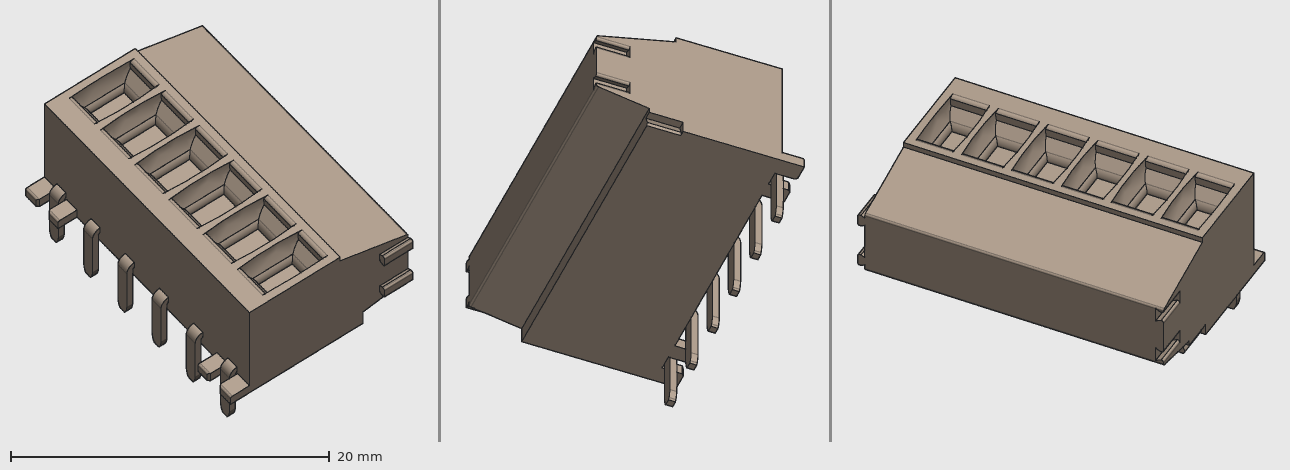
import cadquery as cq
import math


pole_count = 6
pole_pitch = 3.5
body_length = 21.0
body_depth = 12.6
body_height = 8.2
top_depth = 7.2
top_step_height = 0.37
back_top_z = 6.3
back_bottom_z = 1.78
heel_y = 9.03
heel_z = 1.16
back_edge_radius = 0.15

well_front_y = 1.8
well_back_y = 6.35
well_half_width = 1.45
end_well_half_width = 1.15
lip_run = 0.3
lip_height = 0.2
ledge_z = 6.8
side_run = 0.3
side_mid_z = 7.3
side_mid_run = 0.06
slope_run = 0.67
throat_radius = 0.8
floor_z = 6.2
well_bulge = 0.13
end_well_bulge = 0.06
bulge_mid_share = 0.5
ledge_bulge_share = 0.05

pin_width = 0.92
pin_thickness = 0.47
pin_front_y = -0.6
pin_top_z = 1.33
pin_bend_radius = 0.67
pin_root = 0.43
pin_bottom_z = -3.5
pin_taper_z = -2.8
pin_tip_width = 0.47
pin_tip_chamfer_x = 0.09
pin_bow_share = 0.35
pin_tip_chamfer_z = 0.13

foot_reach = 1.5
foot_height = 0.73
foot_outer_end = 3.33
foot_gap = 1.03
foot_chamfer = 0.15
foot_edge_radius = 0.15

rail_heights = (2.5, 5.7)
rail_run = 2.25
rail_reach = 21.5 - body_length
rail_neck = 0.6
rail_width = 0.85
rail_flare_reach = 0.25
rail_corner_radius = 0.13
slot_neck = 0.65
slot_lip_radius = 0.17
slot_depth = 0.55
slot_width = 0.99

notch_height = 0.82
notch_run = 2.3
notch_depth = 0.55
notch_lip_x = 0.3
notch_lip_z = 0.2

first_pole_x = (body_length - (pole_count - 1) * pole_pitch) / 2
pole_positions = [first_pole_x + i * pole_pitch for i in range(pole_count)]


def make_housing():
    housing = (
        cq.Workplane("YZ")
        .moveTo(0, 0)
        .lineTo(heel_y, 0)
        .lineTo(heel_y, heel_z)
        .lineTo(body_depth, back_bottom_z)
        .lineTo(body_depth, back_top_z)
        .lineTo(top_depth, body_height - top_step_height)
        .lineTo(top_depth, body_height)
        .lineTo(0, body_height)
        .close()
        .extrude(body_length)
    )
    return housing.faces(">Y").edges("|X").fillet(back_edge_radius)


def throat_steps():
    """Inward run and drop of the rounded throat at its middle and at its foot."""
    slope_angle = math.radians(45)
    middle_angle = slope_angle / 2
    run = throat_radius * (1 - math.cos(slope_angle))
    drop = throat_radius * math.sin(slope_angle)
    middle_run = throat_radius * (math.cos(middle_angle) - math.cos(slope_angle))
    middle_drop = throat_radius * (math.sin(slope_angle) - math.sin(middle_angle))
    return middle_run, middle_drop, run, drop


def add_throat(outline, low, high):
    """Continue an outline at the low ledge through throat and floor to the high ledge."""
    middle_run, middle_drop, run, drop = throat_steps()
    return (
        outline.threePointArc((low + middle_run, ledge_z - middle_drop), (low + run, ledge_z - drop))
        .lineTo(low + run, floor_z)
        .lineTo(high - run, floor_z)
        .lineTo(high - run, ledge_z - drop)
        .threePointArc((high - middle_run, ledge_z - middle_drop), (high, ledge_z))
    )


def make_well_section():
    """Front-to-back section: rounded lips, short walls, 45 degree slopes, throat and floor."""
    front = well_front_y
    back = well_back_y
    lip_half_angle = math.atan(lip_height / lip_run)
    lip_radius = lip_run / math.sin(2 * lip_half_angle)
    lip_middle_run = lip_run - lip_radius * math.sin(lip_half_angle)
    lip_middle_z = body_height - lip_radius * (1 - math.cos(lip_half_angle))
    outline = (
        cq.Workplane("YZ")
        .moveTo(front - lip_run, body_height)
        .threePointArc((front - lip_middle_run, lip_middle_z), (front, body_height - lip_height))
        .lineTo(front, ledge_z + slope_run)
        .lineTo(front + slope_run, ledge_z)
    )
    return (
        add_throat(outline, front + slope_run, back - slope_run)
        .lineTo(back, ledge_z + slope_run)
        .lineTo(back, body_height - lip_height)
        .threePointArc((back + lip_middle_run, lip_middle_z), (back + lip_run, body_height))
        .close()
        .extrude(body_length)
    )


def bowed_rectangle(left, right, left_bulge, right_bulge):
    front = well_front_y - lip_run
    back = well_back_y + lip_run
    middle_y = (front + back) / 2
    return (
        cq.Workplane("XY")
        .moveTo(left, front)
        .lineTo(right, front)
        .threePointArc((right + right_bulge, middle_y), (right, back))
        .lineTo(left, back)
        .threePointArc((left - left_bulge, middle_y), (left, front))
        .close()
        .wires()
        .val()
    )


def make_well(left, right, left_bulge, right_bulge):
    levels = (
        (ledge_z, side_run, ledge_bulge_share),
        (side_mid_z, side_mid_run, bulge_mid_share),
        (body_height, 0, 1),
    )
    rings = [
        bowed_rectangle(
            left + run, right - run, left_bulge * share, right_bulge * share
        ).translate(cq.Vector(0, 0, z))
        for z, run, share in levels
    ]
    upper = cq.Workplane(cq.Solid.makeLoft(rings))
    ledge_left = left + side_run
    ledge_right = right - side_run
    throat_outline = cq.Workplane("XZ").moveTo(ledge_left, ledge_z)
    throat = add_throat(throat_outline, ledge_left, ledge_right).close().extrude(-body_depth)
    return upper.union(throat).intersect(make_well_section())


def make_pin(x):
    bend_y = pin_front_y + pin_bend_radius
    bend_z = pin_top_z - pin_bend_radius
    inner_radius = pin_bend_radius - pin_thickness
    diagonal = math.sqrt(0.5)
    side = (
        cq.Workplane("YZ", origin=(x - pin_width / 2, 0, 0))
        .moveTo(pin_root, pin_top_z)
        .lineTo(bend_y, pin_top_z)
        .threePointArc(
            (bend_y - pin_bend_radius * diagonal, bend_z + pin_bend_radius * diagonal),
            (pin_front_y, bend_z),
        )
        .lineTo(pin_front_y, pin_bottom_z)
        .lineTo(pin_front_y + pin_thickness, pin_bottom_z)
        .lineTo(pin_front_y + pin_thickness, bend_z)
        .threePointArc(
            (bend_y - inner_radius * diagonal, bend_z + inner_radius * diagonal),
            (bend_y, bend_z + inner_radius),
        )
        .lineTo(pin_root, bend_z + inner_radius)
        .close()
        .extrude(pin_width)
    )
    half = pin_width / 2
    half_tip = pin_tip_width / 2
    shoulder = half_tip + pin_tip_chamfer_x
    shoulder_z = pin_bottom_z + pin_tip_chamfer_z
    bow_x = half - pin_bow_share * (half - shoulder)
    bow_z = (pin_taper_z + shoulder_z) / 2
    front = (
        cq.Workplane("XZ", origin=(x, pin_root, 0))
        .moveTo(-half, pin_top_z)
        .lineTo(half, pin_top_z)
        .lineTo(half, pin_taper_z)
        .threePointArc((bow_x, bow_z), (shoulder, shoulder_z))
        .lineTo(half_tip, pin_bottom_z)
        .lineTo(-half_tip, pin_bottom_z)
        .lineTo(-shoulder, shoulder_z)
        .threePointArc((-bow_x, bow_z), (-half, pin_taper_z))
        .close()
        .extrude(pin_root - pin_front_y)
    )
    return side.intersect(front)


def make_foot(start, end, chamfered_side):
    foot = cq.Workplane("XY").box(end - start, foot_reach, foot_height, centered=False)
    foot = foot.edges("|Z and <Y and " + chamfered_side).chamfer(foot_chamfer)
    foot = foot.faces("<Y").edges(">Z").fillet(foot_edge_radius)
    return foot.translate((start, -foot_reach, 0))


def make_feet():
    gap_start = first_pole_x - foot_gap / 2
    gap_end = first_pole_x + foot_gap / 2
    pair = make_foot(0, gap_start, ">X").union(make_foot(gap_end, foot_outer_end, "<X"))
    return pair.union(pair.mirror("YZ").translate((body_length, 0, 0)))


def make_rail(z):
    return (
        cq.Workplane("XZ", origin=(body_length, body_depth, z))
        .moveTo(0, -rail_neck / 2)
        .lineTo(rail_flare_reach, -rail_width / 2)
        .lineTo(rail_reach, -rail_width / 2)
        .lineTo(rail_reach, rail_width / 2)
        .lineTo(rail_flare_reach, rail_width / 2)
        .lineTo(0, rail_neck / 2)
        .close()
        .extrude(rail_run)
        .faces(">X")
        .edges("|Y")
        .fillet(rail_corner_radius)
    )


def make_slot(z):
    half_neck = slot_neck / 2
    half_mouth = half_neck + slot_lip_radius
    lip_bow = slot_lip_radius * (1 - math.sqrt(0.5))
    return (
        cq.Workplane("XZ", origin=(0, body_depth, z))
        .moveTo(0, -half_mouth)
        .threePointArc((lip_bow, -half_neck - lip_bow), (slot_lip_radius, -half_neck))
        .lineTo(slot_depth, -slot_width / 2)
        .lineTo(slot_depth, slot_width / 2)
        .lineTo(slot_lip_radius, half_neck)
        .threePointArc((lip_bow, half_neck + lip_bow), (0, half_mouth))
        .close()
        .extrude(rail_run)
    )


def make_notch():
    return (
        cq.Workplane("XZ", origin=(0, heel_y, 0))
        .moveTo(0, 0)
        .lineTo(notch_lip_x + notch_lip_z / 2, 0)
        .lineTo(notch_lip_x, notch_lip_z)
        .lineTo(notch_depth, notch_height)
        .lineTo(0, notch_height)
        .close()
        .extrude(notch_run)
    )


result = make_housing().cut(make_notch())

for index, pole_x in enumerate(pole_positions):
    is_first = index == 0
    is_last = index == pole_count - 1
    left_half = end_well_half_width if is_first else well_half_width
    right_half = end_well_half_width if is_last else well_half_width
    left_bow = end_well_bulge if is_first else well_bulge
    right_bow = end_well_bulge if is_last else well_bulge
    result = result.cut(make_well(pole_x - left_half, pole_x + right_half, left_bow, right_bow))
    result = result.union(make_pin(pole_x))

result = result.union(make_feet())

for rail_z in rail_heights:
    result = result.union(make_rail(rail_z)).cut(make_slot(rail_z))